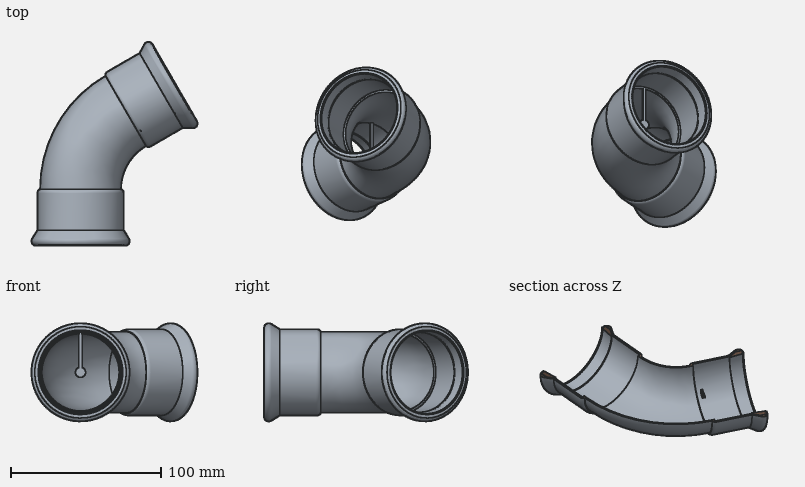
import cadquery as cq
import math

bend_angle = 60.0
bend_radius = 60.1
leg_length = 37.6
pipe_radius = 27.0
pipe_bore_radius = 25.6

socket_radius = 57.5 / 2
socket_bore_radius = 54.4 / 2
socket_bore_depth = 35.5
shoulder_radius = 27.4
shoulder_length = 2.6

rim_radius = 65.4 / 2
rim_depth = 3.0
rim_face_radius = 29.3
flare_start_radius = 32.0
flare_start_depth = 5.2
flare_end_depth = 10.5

lip_radius = 28.1
lip_depth = 0.8
groove_radius = 30.4
groove_cone_depth = 5.2
seal_depth = 10.2
seal_mouth_radius = 55.0 / 2
seal_throat_radius = 53.0 / 2
seal_throat_length = 1.1

disc_radius = 3.4
bar_width = 2.0
disc_thickness = 1.4

shoulder_start_depth = leg_length - shoulder_length
shoulder_drop = socket_radius - shoulder_radius
shoulder_arc_radius = (shoulder_drop**2 + shoulder_length**2) / (2 * shoulder_drop)
shoulder_half_angle = math.asin(shoulder_length / shoulder_arc_radius) / 2
shoulder_middle = (
    socket_radius - shoulder_arc_radius * (1 - math.cos(shoulder_half_angle)),
    shoulder_start_depth + shoulder_arc_radius * math.sin(shoulder_half_angle),
)


def revolve_about_y(profile):
    return profile.close().revolve(360, (0, 0, 0), (0, 1, 0))


def at_far_end(shape):
    """Mirror across the middle plane of the bend, which swaps the two mouths."""
    half_angle = math.radians(bend_angle / 2)
    plane_normal = cq.Vector(math.sin(half_angle), math.cos(half_angle), 0)
    return shape.mirror(plane_normal, (bend_radius, leg_length, 0))


def socket_outside():
    profile = (
        cq.Workplane("XY")
        .lineTo(rim_face_radius, 0)
        .threePointArc((rim_radius, rim_depth), (flare_start_radius, flare_start_depth))
        .lineTo(socket_radius, flare_end_depth)
        .lineTo(socket_radius, shoulder_start_depth)
        .threePointArc(shoulder_middle, (shoulder_radius, leg_length))
        .lineTo(0, leg_length)
    )
    return revolve_about_y(profile)


def socket_cavity():
    """Lip, seal groove, pipe socket and the short bore leading to the bend."""
    profile = (
        cq.Workplane("XY")
        .lineTo(lip_radius, 0)
        .lineTo(lip_radius, lip_depth)
        .lineTo(groove_radius, lip_depth)
        .lineTo(groove_radius, groove_cone_depth)
        .lineTo(socket_bore_radius, seal_depth)
        .lineTo(socket_bore_radius, socket_bore_depth)
        .lineTo(pipe_bore_radius, socket_bore_depth)
        .lineTo(pipe_bore_radius, leg_length)
        .lineTo(0, leg_length)
    )
    return revolve_about_y(profile)


def bend(radius):
    start = cq.Workplane("XZ", origin=(0, leg_length, 0)).circle(radius)
    return start.revolve(bend_angle, (bend_radius, 1.4, 0), (bend_radius, 0, 0))


def centre_mark():
    """Disc on the socket axis, hung from the pipe wall by a bar, flush with the pipe stop."""
    face = cq.Workplane("XZ", origin=(0, socket_bore_depth, 0))
    bar_length = (pipe_bore_radius + pipe_radius) / 2
    bar = face.center(0, bar_length / 2).rect(bar_width, bar_length).extrude(-disc_thickness)
    return face.circle(disc_radius).extrude(-disc_thickness).union(bar)


def make_elbow():
    socket = socket_outside()
    cavity = socket_cavity()
    outside = bend(pipe_radius).union(socket).union(at_far_end(socket))
    hollow = outside.cut(bend(pipe_bore_radius)).cut(cavity).cut(at_far_end(cavity))
    return hollow.union(centre_mark())


def make_seal():
    """Ring filling the groove, its inside tapering to a narrow throat."""
    profile = (
        cq.Workplane("XY")
        .moveTo(seal_mouth_radius, lip_depth)
        .lineTo(groove_radius, lip_depth)
        .lineTo(groove_radius, groove_cone_depth)
        .lineTo(socket_bore_radius, seal_depth)
        .lineTo(seal_throat_radius, seal_depth)
        .lineTo(seal_throat_radius, seal_depth - seal_throat_length)
    )
    return revolve_about_y(profile)


elbow = make_elbow()
near_seal = make_seal()
seals = [near_seal, at_far_end(near_seal)]

result = cq.Compound.makeCompound([elbow.val(), *[seal.val() for seal in seals]])